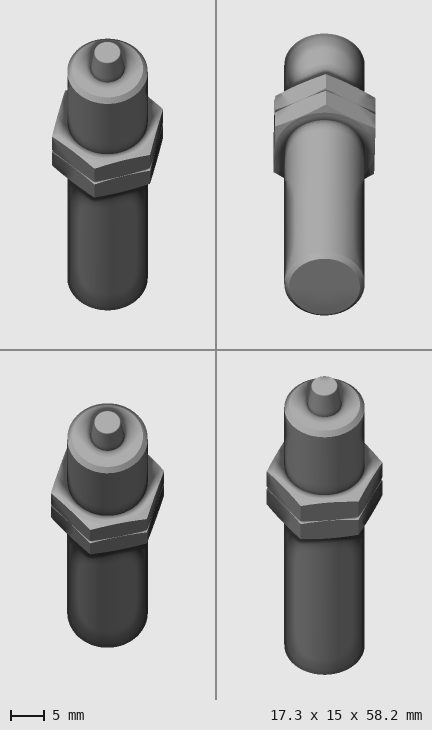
import cadquery as cq
import math

barrel_diameter = 12.0
barrel_length = 54.0
barrel_chamfer = 0.7

tip_base_diameter = 5.1
tip_end_diameter = 3.9
tip_length = 4.2
tip_edge_radius = 0.2

nut_across_flats = 15.0
nut_across_corners = nut_across_flats / math.cos(math.radians(30))
nut_height = 4.0
nut_count = 2
nut_stack_bottom = 32.5
nut_face_diameter = 14.8
nut_chamfer_angle = 15.0


def make_sensor():
    """Chamfered barrel and its tapered tip, one solid of revolution."""
    barrel = cq.Workplane("XY").circle(barrel_diameter / 2).extrude(barrel_length)
    barrel = barrel.faces("<Z or >Z").chamfer(barrel_chamfer)
    tip = (
        cq.Workplane("XY", origin=(0, 0, barrel_length))
        .circle(tip_base_diameter / 2)
        .workplane(offset=tip_length)
        .circle(tip_end_diameter / 2)
        .loft(ruled=True)
        .faces(">Z")
        .edges()
        .fillet(tip_edge_radius)
    )
    return barrel.union(tip)


def make_nut(bottom):
    """Hexagon nut with conically chamfered corners on both faces, its bore fitting the barrel."""
    corner_radius = nut_across_corners / 2
    face_radius = nut_face_diameter / 2
    corner_drop = (corner_radius - face_radius) * math.tan(math.radians(nut_chamfer_angle))
    hexagon = cq.Workplane("XY").polygon(6, nut_across_corners).extrude(nut_height)
    turned_blank = (
        cq.Workplane("XZ")
        .moveTo(0, 0)
        .lineTo(face_radius, 0)
        .lineTo(corner_radius, corner_drop)
        .lineTo(corner_radius, nut_height - corner_drop)
        .lineTo(face_radius, nut_height)
        .lineTo(0, nut_height)
        .close()
        .revolve(360, (0, 0, 0), (0, 1, 0))
    )
    bore = cq.Workplane("XY").circle(barrel_diameter / 2).extrude(nut_height)
    return hexagon.intersect(turned_blank).cut(bore).translate((0, 0, bottom))


sensor = make_sensor()
nuts = [make_nut(nut_stack_bottom + index * nut_height) for index in range(nut_count)]

result = cq.Compound.makeCompound([sensor.val(), *[nut.val() for nut in nuts]])